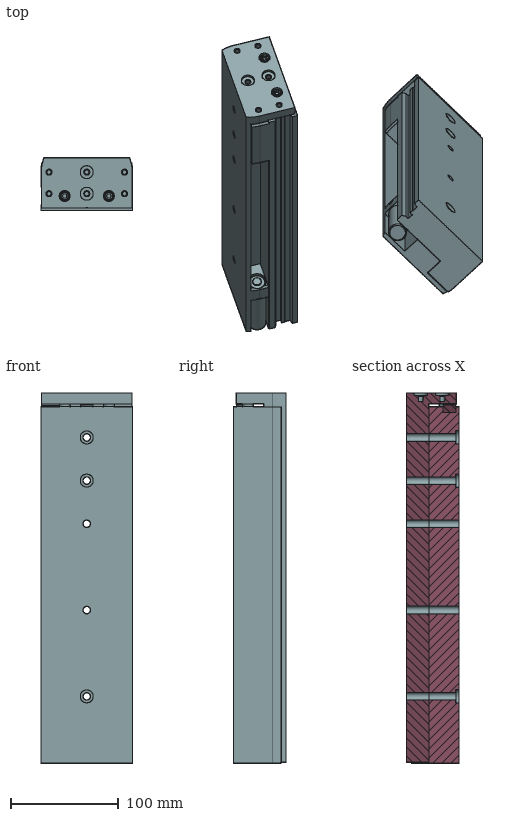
import cadquery as cq
import math


total_width = 85.0
total_depth = 49.0
total_height = 343.6
stroke = 200.0

housing_half_width = total_width / 2
housing_height = 330.7
guide_floor_y = 28.0
wall_top_y = 44.0
rail_half_width = 15.0
stop_block_height = 62.5
stop_block_top = 330.2
stop_block_bottom = stop_block_top - stop_block_height
stop_chamfer = 1.8
guide_edge_chamfer = 1.0

flange_y = 5.2
flange_slope_y = 6.2
groove_floor_x = -38.5
lip_x = -39.0
lip_y = 11.4
sensor_slot_x = -36.0
sensor_slot_low_y = 14.5
sensor_slot_high_y = 19.7
groove_top_y = 21.7

slide_half_width = 42.0
side_arc_start_y = 36.5
back_half_width = 39.8
back_plate_y = 44.8
slide_bottom = 1.0
end_plate_front_y = 2.5
end_plate_bottom = 333.4
lug_bottom = 50.8
lug_top = stop_block_bottom - stroke

mount_hole_z = (62.2, 142.2, 222.2, 262.2, 302.2)
sleeve_hole_z = (62.2, 262.2, 302.2)
mount_hole_diameter = 6.65
sleeve_diameter = 12.0
mount_sleeve_depth = 3.0

tapped_hole_diameter = 4.13
tapped_hole_mouth = 5.6
tapped_hole_depth = 8.0
tapped_hole_x = (-35.0, 0.0, 35.0)
tapped_hole_y = (15.6, 35.6)
end_sleeve_depth = 2.5

rod_x = (-20.5, 20.5)
rod_y = 13.5
rod_diameter = 10.0
rod_bottom = 100.0
screw_shank_diameter = 5.5
screw_head_diameter = 8.5
screw_head_height = 5.0
screw_head_chamfer = 0.8
screw_bore_diameter = 10.1
screw_bore_depth = 5.8
socket_across_corners = 4.6
socket_depth = 2.5

absorber_x = -33.0
absorber_y = 36.5
absorber_diameter = 16.5
absorber_top = lug_top - 2.0
absorber_chamfer = 1.0
plunger_diameter = 8.0
plunger_top = lug_top - 0.5

bumper_y = 9.0
bumper_diameter = 12.0
bumper_depth = 5.0
bumper_top = 332.4

arc_rise = total_depth - side_arc_start_y
arc_inset = slide_half_width - back_half_width
side_arc_radius = (arc_rise**2 + arc_inset**2) / (2 * arc_inset)


def side_x(half_width, y):
    """Distance from X = 0 to a side with this half width, at height y on its arc."""
    radius = side_arc_radius + half_width - slide_half_width
    drop = radius - math.sqrt(radius**2 - (y - side_arc_start_y) ** 2)
    return half_width - drop


def cylinder(x, y, diameter, z_low, z_high):
    base = cq.Workplane("XY", origin=(x, y, z_low))
    return base.circle(diameter / 2).extrude(z_high - z_low)


def box(x_low, x_high, y_low, y_high, z_low, z_high):
    size = (x_high - x_low, y_high - y_low, z_high - z_low)
    return cq.Workplane("XY").box(*size, centered=False).translate((x_low, y_low, z_low))


def side_block(half_width, y_low, y_high, z_low, z_high):
    """Block beside the rail on the -X side, with a straight and arced outer side."""
    return (
        cq.Workplane("XY", origin=(0, 0, z_low))
        .moveTo(-rail_half_width, y_low)
        .lineTo(-half_width, y_low)
        .lineTo(-half_width, side_arc_start_y)
        .tangentArcPoint((-side_x(half_width, y_high), y_high), relative=False)
        .lineTo(-rail_half_width, y_high)
        .close()
        .extrude(z_high - z_low)
    )


def chamfer_outer_edges(block, end_faces, plain_edges=">X or >Y or <Y"):
    """Chamfer the outer edges of the block's end faces, all but the plain ones."""
    return block.faces(end_faces).edges(f"not({plain_edges})").chamfer(stop_chamfer)


def mounting_holes():
    """Cross holes through the part, some with a centring sleeve seat in front."""
    front = cq.Workplane("XZ")
    holes = front.pushPoints([(0, z) for z in mount_hole_z])
    holes = holes.circle(mount_hole_diameter / 2).extrude(-total_depth)
    seats = front.pushPoints([(0, z) for z in sleeve_hole_z])
    seats = seats.circle(sleeve_diameter / 2).extrude(-mount_sleeve_depth)
    return holes.union(seats)


def make_housing():
    edge = -housing_half_width
    body = (
        cq.Workplane("XY")
        .polyline([
            (edge, 0),
            (edge, flange_y),
            (groove_floor_x, flange_slope_y),
            (groove_floor_x, lip_y),
            (lip_x, lip_y),
            (lip_x, sensor_slot_low_y),
            (sensor_slot_x, sensor_slot_low_y),
            (sensor_slot_x, sensor_slot_high_y),
            (lip_x, sensor_slot_high_y),
            (edge, groove_top_y),
            (edge, guide_floor_y - guide_edge_chamfer),
            (edge + guide_edge_chamfer, guide_floor_y),
            (-edge, guide_floor_y),
            (-edge, 0),
        ])
        .close()
        .extrude(housing_height)
    )
    block_root_y = guide_floor_y - guide_edge_chamfer
    stop_block = side_block(
        housing_half_width, block_root_y, wall_top_y, stop_block_bottom, stop_block_top
    )
    stop_block = chamfer_outer_edges(stop_block, "<Z or >Z")
    body = body.union(stop_block)
    far_wall = side_block(housing_half_width, guide_floor_y, wall_top_y, 0, stop_block_top)
    body = body.union(far_wall.mirror("YZ"))

    for x in rod_x:
        body = body.cut(cylinder(x, rod_y, rod_diameter, rod_bottom, housing_height))
    bumper_seat = cylinder(
        0, bumper_y, bumper_diameter, housing_height - bumper_depth, housing_height
    )
    return body.cut(bumper_seat).cut(mounting_holes())


def make_slide():
    back = total_depth
    back_plate = (
        cq.Workplane("XY", origin=(0, 0, slide_bottom))
        .moveTo(-side_x(slide_half_width, back_plate_y), back_plate_y)
        .radiusArc((-back_half_width, back), side_arc_radius)
        .lineTo(back_half_width, back)
        .radiusArc((side_x(slide_half_width, back_plate_y), back_plate_y), side_arc_radius)
        .close()
        .extrude(total_height - slide_bottom)
    )
    rail = box(
        -rail_half_width, rail_half_width, guide_floor_y, back, slide_bottom, total_height
    )
    end_half = side_block(
        slide_half_width, end_plate_front_y, back, end_plate_bottom, total_height
    )
    end_middle = box(
        -rail_half_width, rail_half_width, end_plate_front_y, back, end_plate_bottom, total_height
    )
    stop_pad = side_block(
        slide_half_width, guide_floor_y, back_plate_y, stop_block_top, end_plate_bottom
    )
    lug = side_block(slide_half_width, guide_floor_y, back_plate_y, lug_bottom, lug_top)

    slide = back_plate.union(rail).union(end_middle)
    slide = slide.union(end_half).union(end_half.mirror("YZ"))
    slide = slide.union(stop_pad.mirror("YZ"))
    slide = slide.union(chamfer_outer_edges(stop_pad, "<Z", plain_edges=">X or >Y"))
    slide = slide.union(chamfer_outer_edges(lug, ">Z"))
    slide = slide.cut(
        cylinder(absorber_x, absorber_y, absorber_diameter, lug_bottom, lug_top)
    )
    return cut_end_plate_holes(slide).cut(mounting_holes())


def countersink(x, y, mouth_z):
    """45 degree cone at the mouth of a tapped hole."""
    mouth_radius = tapped_hole_mouth / 2
    tip_radius = tapped_hole_diameter / 2
    cone = cq.Solid.makeCone(
        mouth_radius,
        tip_radius,
        mouth_radius - tip_radius,
        pnt=cq.Vector(x, y, mouth_z),
        dir=cq.Vector(0, 0, -1),
    )
    return cq.Workplane(cone)


def cut_end_plate_holes(slide):
    for x in tapped_hole_x:
        mouth_z = total_height - end_sleeve_depth if x == 0 else total_height
        for y in tapped_hole_y:
            hole = cylinder(
                x, y, tapped_hole_diameter, total_height - tapped_hole_depth, total_height
            )
            slide = slide.cut(hole).cut(countersink(x, y, mouth_z))
            if x == 0:
                slide = slide.cut(cylinder(x, y, sleeve_diameter, mouth_z, total_height))
    for x in rod_x:
        bore_floor = total_height - screw_bore_depth
        slide = slide.cut(
            cylinder(x, rod_y, screw_shank_diameter, end_plate_bottom, total_height)
        )
        slide = slide.cut(cylinder(x, rod_y, screw_bore_diameter, bore_floor, total_height))
    return slide


def make_piston_rod(x):
    """Piston rod in one piece with the socket screw that holds the end plate."""
    head_bottom = total_height - screw_bore_depth
    head_top = head_bottom + screw_head_height
    rod = cylinder(x, rod_y, rod_diameter, rod_bottom, end_plate_bottom)
    shank = cylinder(x, rod_y, screw_shank_diameter, end_plate_bottom, head_bottom)
    head = cylinder(x, rod_y, screw_head_diameter, head_bottom, head_top)
    head = head.faces(">Z").chamfer(screw_head_chamfer)
    socket = (
        cq.Workplane("XY", origin=(x, rod_y, head_top))
        .polygon(6, socket_across_corners)
        .extrude(-socket_depth)
    )
    return rod.union(shank).union(head).cut(socket)


def make_shock_absorber():
    body = cylinder(absorber_x, absorber_y, absorber_diameter, 0, absorber_top)
    body = body.faces("<Z or >Z").edges().chamfer(absorber_chamfer)
    plunger = cylinder(absorber_x, absorber_y, plunger_diameter, absorber_top, plunger_top)
    return body.union(plunger)


def make_bumper():
    return cylinder(0, bumper_y, bumper_diameter, housing_height - bumper_depth, bumper_top)


housing = make_housing()
slide = make_slide()
piston_rods = [make_piston_rod(x) for x in rod_x]
shock_absorber = make_shock_absorber()
bumper = make_bumper()

result = cq.Compound.makeCompound([
    *housing.solids().vals(),
    *slide.solids().vals(),
    *[rod.solids().val() for rod in piston_rods],
    *shock_absorber.solids().vals(),
    *bumper.solids().vals(),
])